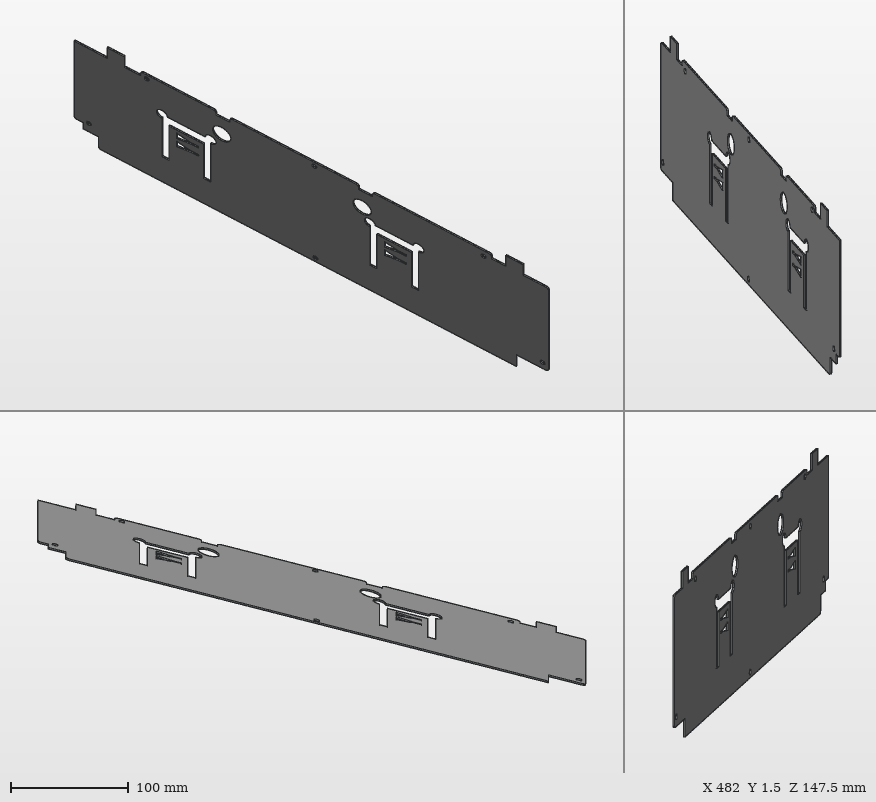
import cadquery as cq

LENGTH = 482.0
THICKNESS = 1.5
TAB_TOP_Z = 147.46

HALF_LENGTH = LENGTH / 2
SHOULDER_Z = 132.8
RAISED_EDGE_Z = 138.4
LOWER_STEP_Z = 16.3

BOTTOM_LEFT_X = -216.3
BOTTOM_RIGHT_X = 208.3
LEFT_STEP_X = -231.7
LEFT_STEP_Z = 25.0

TAB_WIDTH = 17.5
TAB_LEFT_EDGES = (-207.5, 197.5)
RAISED_SPANS = ((-173.6, -97.0), (-83.0, 48.0), (62.0, 183.2))

CORNER_RADIUS = 3.0

SCREW_HOLE_DIAMETER = 4.8
SCREW_HOLES = (
    (-167.3, 132.8),
    (3.0, 132.8),
    (175.0, 130.6),
    (-226.0, 27.9),
    (235.0, 24.7),
    (4.2, 5.0),
)
LARGE_HOLE_DIAMETER = 18.5
LARGE_HOLES = ((-91.0, 110.3), (51.6, 110.3))

WINDOW_CENTRES = (-127.0, 84.2)
WINDOW_WIDTH = 49.5
WINDOW_TOP_Z = 94.3
WINDOW_BOTTOM_Z = 35.0
TONGUE_WIDTH = 35.5
TONGUE_TOP_Z = 83.0
RELIEF_RADIUS = 5.5

SLOT_LEVELS = (74.7, 63.3)
SLOT_START = -10.0
FUNNEL_LENGTH = 15.0
FUNNEL_HEIGHT = 7.5
SLIT_LENGTH = 7.2
SLIT_HEIGHT = 1.8


def plate(x_min, x_max, z_min, z_max):
    """Rectangular piece of the sheet, centred on Y = 0."""
    return (
        cq.Workplane("XY")
        .box(x_max - x_min, THICKNESS, z_max - z_min)
        .translate(((x_min + x_max) / 2, 0, (z_min + z_max) / 2))
    )


def round_cutter(centres, diameter):
    """Cylinders through the sheet at the given (x, z) centres."""
    return (
        cq.Workplane("XZ")
        .pushPoints(centres)
        .circle(diameter / 2)
        .extrude(THICKNESS, both=True)
    )


def panel_body():
    """Main outline up to the shoulders, with stepped and rounded corners."""
    body = (
        cq.Workplane("XZ")
        .moveTo(BOTTOM_LEFT_X, 0)
        .lineTo(BOTTOM_RIGHT_X, 0)
        .lineTo(BOTTOM_RIGHT_X, LOWER_STEP_Z)
        .lineTo(HALF_LENGTH, LOWER_STEP_Z)
        .lineTo(HALF_LENGTH, SHOULDER_Z)
        .lineTo(-HALF_LENGTH, SHOULDER_Z)
        .lineTo(-HALF_LENGTH, LEFT_STEP_Z)
        .lineTo(LEFT_STEP_X, LEFT_STEP_Z)
        .lineTo(LEFT_STEP_X, LOWER_STEP_Z)
        .lineTo(BOTTOM_LEFT_X, LOWER_STEP_Z)
        .close()
        .extrude(THICKNESS / 2, both=True)
    )
    body = body.edges("|Y and >X").fillet(CORNER_RADIUS)
    nearest_edge = cq.selectors.NearestToPointSelector
    for x, z in ((-HALF_LENGTH, LEFT_STEP_Z), (BOTTOM_LEFT_X, 0)):
        body = body.edges(nearest_edge((x, 0, z))).fillet(CORNER_RADIUS)
    return body


def add_top_edge(panel):
    """Raised stretches with rounded upper corners, and two square tabs."""
    for start, end in RAISED_SPANS:
        raised = plate(start, end, LOWER_STEP_Z, RAISED_EDGE_Z)
        panel = panel.union(raised.edges("|Y and >Z").fillet(CORNER_RADIUS))
    for left in TAB_LEFT_EDGES:
        panel = panel.union(plate(left, left + TAB_WIDTH, LOWER_STEP_Z, TAB_TOP_Z))
    return panel


def tapered_slot_cutter(start, level):
    """Funnel opening at `start`, closing into a slit that runs towards +X."""
    throat = start + FUNNEL_LENGTH
    end = throat + SLIT_LENGTH
    return (
        cq.Workplane("XZ")
        .moveTo(start, level - FUNNEL_HEIGHT / 2)
        .lineTo(throat, level - SLIT_HEIGHT / 2)
        .lineTo(end, level - SLIT_HEIGHT / 2)
        .lineTo(end, level + SLIT_HEIGHT / 2)
        .lineTo(throat, level + SLIT_HEIGHT / 2)
        .lineTo(start, level + FUNNEL_HEIGHT / 2)
        .close()
        .extrude(THICKNESS, both=True)
    )


def window_cutter(centre):
    """U-shaped opening around a tongue, with round reliefs in its top corners."""
    left = centre - WINDOW_WIDTH / 2
    right = centre + WINDOW_WIDTH / 2
    tongue_left = centre - TONGUE_WIDTH / 2
    tongue_right = centre + TONGUE_WIDTH / 2
    opening = plate(left, right, WINDOW_BOTTOM_Z, WINDOW_TOP_Z)
    opening = opening.cut(plate(tongue_left, tongue_right, WINDOW_BOTTOM_Z, TONGUE_TOP_Z))
    reliefs = round_cutter([(left, WINDOW_TOP_Z), (right, WINDOW_TOP_Z)], 2 * RELIEF_RADIUS)
    return opening.union(reliefs)


def cut_windows(panel):
    """Cut both windows and the tapered slots in their tongues."""
    for centre in WINDOW_CENTRES:
        panel = panel.cut(window_cutter(centre))
        for level in SLOT_LEVELS:
            panel = panel.cut(tapered_slot_cutter(centre + SLOT_START, level))
    return panel


panel = add_top_edge(panel_body())
panel = panel.cut(round_cutter(SCREW_HOLES, SCREW_HOLE_DIAMETER))
panel = panel.cut(round_cutter(LARGE_HOLES, LARGE_HOLE_DIAMETER))
result = cut_windows(panel)